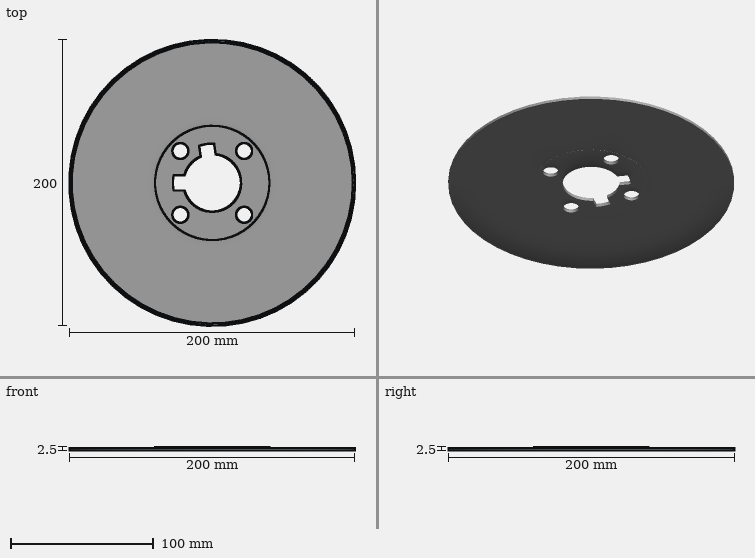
import cadquery as cq

outer_diameter = 200.0
rim_seam_diameter = 196.5
disc_thickness = 1.88
rim_flare = 0.1

hub_diameter = 80.0
total_thickness = 2.5

bore_diameter = 40.0
bore_chamfer = 0.3
keyway_width = 10.5
keyway_end_radius = 27.5
keyway_angles = (180.0, 98.4)

pin_hole_diameter = 11.0
pin_hole_spacing = 44.5

seam_radius = rim_seam_diameter / 2
outer_radius = outer_diameter / 2


def make_keyway(angle):
    """Radial slot cutter with a rounded end concentric with the bore."""
    slot = cq.Workplane("XY").box(
        hub_diameter / 2, keyway_width, total_thickness, centered=(False, True, False)
    )
    end_round = cq.Workplane("XY").circle(keyway_end_radius).extrude(total_thickness)
    return slot.intersect(end_round).rotate((0, 0, 0), (0, 0, 1), angle)


def make_blade_body():
    """Disc with a raised hub, chamfered bore, keyways and pin holes."""
    disc = cq.Workplane("XY").workplane(offset=rim_flare).circle(seam_radius).extrude(disc_thickness)
    hub = cq.Workplane("XY").circle(hub_diameter / 2).extrude(total_thickness)
    body = disc.union(hub)

    bore = cq.Workplane("XY").circle(bore_diameter / 2).extrude(total_thickness)
    body = body.cut(bore)
    bore_edge = cq.selectors.RadiusNthSelector(0)
    body = body.faces(">Z").edges(bore_edge).chamfer(bore_chamfer)

    for angle in keyway_angles:
        body = body.cut(make_keyway(angle))

    pin_holes = (
        cq.Workplane("XY")
        .rect(pin_hole_spacing, pin_hole_spacing, forConstruction=True)
        .vertices()
        .circle(pin_hole_diameter / 2)
        .extrude(total_thickness)
    )
    return body.cut(pin_holes)


def make_cutting_rim():
    """Ring around the disc that thickens slightly toward its outer edge on both faces."""
    disc_top = rim_flare + disc_thickness
    profile = [
        (seam_radius, rim_flare),
        (outer_radius, 0),
        (outer_radius, disc_top + rim_flare),
        (seam_radius, disc_top),
    ]
    return cq.Workplane("XZ").polyline(profile).close().revolve(360, (0, 0, 0), (0, 1, 0))


blade_body = make_blade_body()
cutting_rim = make_cutting_rim()
result = cq.Compound.makeCompound([blade_body.val(), cutting_rim.val()])